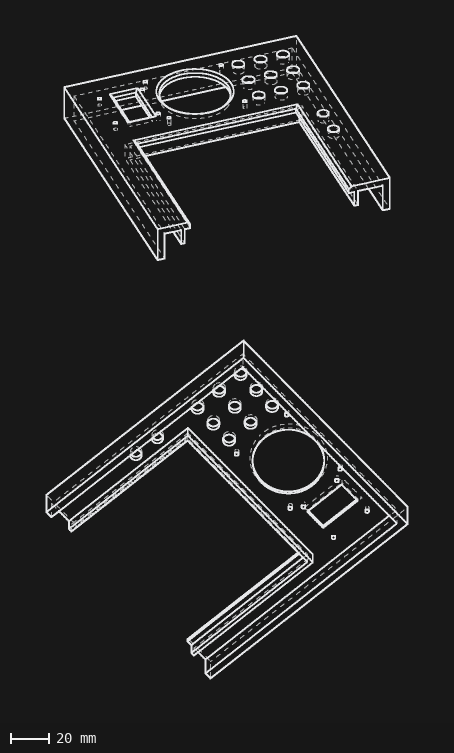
import cadquery as cq

length = 137.5
width = 130.2
height = 20.0
plate_thickness = 4.0
wall_thickness = 4.0
edge_chamfer = 1.5

opening_left = 59.5
opening_front = 18.3
opening_back = 107.2
rail_setback = 3.0
rail_thickness = 2.0
rail_bottom = 7.0

column_x = 28.0
grid_hole_diameter = 6.5
grid_pitch_x = 15.0
grid_pitch_y = 12.5
grid_center_y = 105.2
arm_hole_diameter = 6.0
arm_hole_pitch = 15.0
arm_holes_center_x = 78.0
arm_holes_y = 118.4

screw_hole_diameter = 2.0
speaker_diameter = 37.5
speaker_y = 62.7
speaker_screw_pitch_x = 34.9
speaker_screw_pitch_y = 42.5
window_length = 24.0
window_width = 12.6
window_y = 27.8
window_screw_pitch_x = 23.4
window_screw_pitch_y = 23.9
window_screw_y = 25.6


def block(x_min, x_max, y_min, y_max, z_min, z_max):
    """Box given by its limits along each axis."""
    size = (x_max - x_min, y_max - y_min, z_max - z_min)
    return cq.Workplane("XY").box(*size, centered=False).translate((x_min, y_min, z_min))


def plate_plane(x, y):
    """Workplane on the top face with its origin at (x, y)."""
    return cq.Workplane("XY", origin=(x, y, height))


def hole_grid(x, y, pitch_x, pitch_y, count_x, count_y, diameter):
    """Cutter for a grid of round holes centred on (x, y)."""
    grid = plate_plane(x, y).rarray(pitch_x, pitch_y, count_x, count_y)
    return grid.circle(diameter / 2).extrude(-plate_thickness)


def chamfered_rectangle(x, y, size_x, size_y):
    """Cutter for a rectangular hole that widens at the top face."""
    hole = plate_plane(x, y).rect(size_x, size_y).extrude(-plate_thickness)
    rim = plate_plane(x, y).rect(size_x + 2 * edge_chamfer, size_y + 2 * edge_chamfer)
    return hole.union(rim.extrude(-edge_chamfer, taper=45))


def chamfered_circle(x, y, diameter):
    """Cutter for a round hole that widens at the top face."""
    hole = plate_plane(x, y).circle(diameter / 2).extrude(-plate_thickness)
    rim = plate_plane(x, y).circle(diameter / 2 + edge_chamfer)
    return hole.union(rim.extrude(-edge_chamfer, taper=45))


plate_bottom = height - plate_thickness
cavity = block(wall_thickness, length, wall_thickness, width - wall_thickness, 0, plate_bottom)
shell = block(0, length, 0, width, 0, height).cut(cavity)

rail_left = opening_left - rail_setback
rail_front = opening_front - rail_setback
rail_back = opening_back + rail_setback
rail_outside = block(
    rail_left - rail_thickness, length,
    rail_front - rail_thickness, rail_back + rail_thickness,
    rail_bottom, plate_bottom,
)
rail_inside = block(rail_left, length, rail_front, rail_back, rail_bottom, plate_bottom)
shell = shell.union(rail_outside.cut(rail_inside))

opening_length = 2 * (length - opening_left)
opening_center_y = (opening_front + opening_back) / 2
opening = chamfered_rectangle(length, opening_center_y, opening_length, opening_back - opening_front)

grid_holes = hole_grid(column_x, grid_center_y, grid_pitch_x, grid_pitch_y, 3, 3, grid_hole_diameter)
arm_holes = hole_grid(arm_holes_center_x, arm_holes_y, arm_hole_pitch, 1.4, 2, 1, arm_hole_diameter)
speaker_hole = chamfered_circle(column_x, speaker_y, speaker_diameter)
speaker_screws = hole_grid(
    column_x, speaker_y, speaker_screw_pitch_x, speaker_screw_pitch_y, 2, 2, screw_hole_diameter
)
window = chamfered_rectangle(column_x, window_y, window_length, window_width)
window_screws = hole_grid(
    column_x, window_screw_y, window_screw_pitch_x, window_screw_pitch_y, 2, 2, screw_hole_diameter
)

result = shell
for cutter in (opening, grid_holes, arm_holes, speaker_hole, speaker_screws, window, window_screws):
    result = result.cut(cutter)